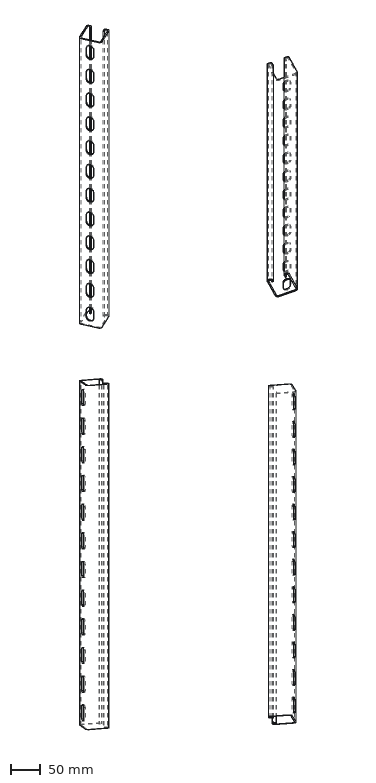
import cadquery as cq

length = 600.0
side = 41.0
wall = 2.5
web_bend_radius = 5.0
lip_bend_radius = 3.0
opening_width = 22.0
lip_depth = 7.0

slot_count = 12
slot_length = 28.0
slot_width = 13.0

half_side = side / 2
lip_edge = opening_width / 2
lip_end = half_side - lip_depth
slot_pitch = length / slot_count


def half_section():
    """Right half of the channel section, from the web centre to the lip end."""
    outer_web = web_bend_radius
    inner_web = web_bend_radius - wall
    outer_lip = lip_bend_radius
    inner_lip = lip_bend_radius - wall
    inner_side = half_side - wall
    lip_back = lip_edge + wall
    return (
        cq.Workplane("XY")
        .moveTo(0, -half_side)
        .lineTo(half_side - outer_web, -half_side)
        .radiusArc((half_side, -half_side + outer_web), -outer_web)
        .lineTo(half_side, half_side - outer_lip)
        .radiusArc((half_side - outer_lip, half_side), -outer_lip)
        .lineTo(lip_edge + outer_lip, half_side)
        .radiusArc((lip_edge, half_side - outer_lip), -outer_lip)
        .lineTo(lip_edge, lip_end)
        .lineTo(lip_back, lip_end)
        .lineTo(lip_back, inner_side - inner_lip)
        .radiusArc((lip_back + inner_lip, inner_side), inner_lip)
        .lineTo(inner_side - inner_lip, inner_side)
        .radiusArc((inner_side, inner_side - inner_lip), inner_lip)
        .lineTo(inner_side, -inner_side + inner_web)
        .radiusArc((inner_side - inner_web, -inner_side), inner_web)
        .lineTo(0, -inner_side)
        .close()
    )


def web_slots():
    """Row of lengthwise slot cutters passing through the web."""
    return (
        cq.Workplane("XZ", origin=(0, -half_side + wall, length / 2))
        .rarray(6, slot_pitch, 1, slot_count)
        .slot2D(slot_length, slot_width, 90)
        .extrude(2 * wall)
    )


right_half = half_section().extrude(length)
channel = right_half.union(right_half.mirror("YZ"), clean=True)
result = channel.cut(web_slots())